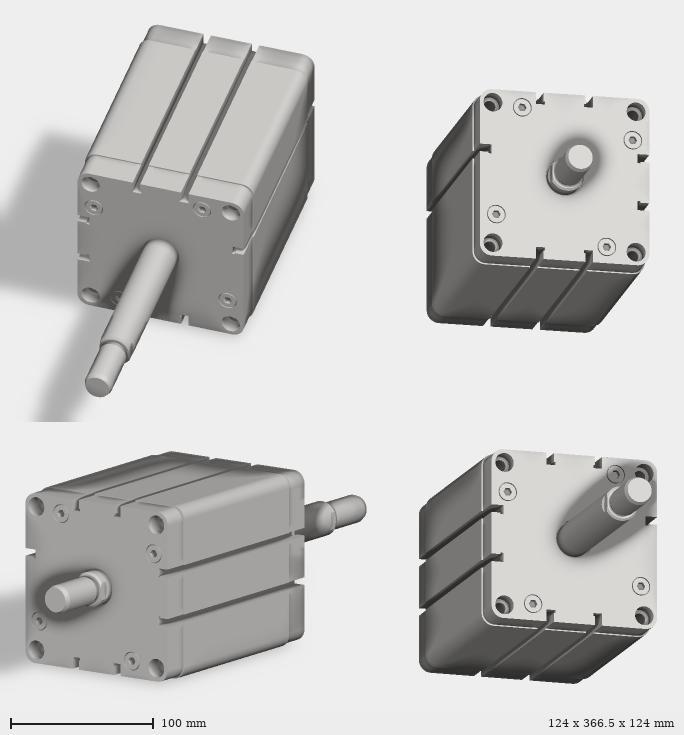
import cadquery as cq

OVERALL_LENGTH = 366.5
FRONT_TIP = -OVERALL_LENGTH / 2
REAR_TIP = OVERALL_LENGTH / 2

BARREL_SIDE = 124.0
BARREL_FRONT = -13.5
BARREL_REAR = 114.5
CAP_SIDE = 122.0
CAP_FRONT = -33.7
CAP_REAR = 133.0
CORNER_RADIUS = 8.8

SLOT_OUTER = 20.5
SLOT_INNER = 15.0
SLOT_UNDERCUT_INNER = 14.0
SLOT_LIP_BOTTOM = 54.5
SLOT_FLOOR = 52.5

CORNER_HOLE_PITCH = 103.0
CORNER_HOLE_DIAMETER = 8.5
COUNTERBORE_DIAMETER = 13.5
COUNTERBORE_DEPTH = 3.0

SCREW_OFFSET_LONG = 49.0
SCREW_OFFSET_SHORT = 30.5
SCREW_POCKET_DIAMETER = 13.5
SCREW_HEAD_DIAMETER = 12.0
SCREW_POCKET_DEPTH = 2.0
SCREW_SOCKET_ACROSS_CORNERS = 6.2
SCREW_SOCKET_DEPTH = 3.5

ROD_DIAMETER = 25.0
ROD_END_CHAMFER = 1.5
ROD_BORE_DIAMETER = 27.0
ROD_BORE_DEPTH = 2.0
NECK_DIAMETER = 17.5
NECK_LENGTH = 4.0
THREAD_DIAMETER = 20.0
THREAD_LENGTH = 36.3
THREAD_TIP_CHAMFER_LENGTH = 3.5
THREAD_RUNOUT_LENGTH = 1.0
THREAD_TIP_DIAMETER = 17.5
FLATS_ACROSS = 21.5
FLATS_LENGTH = 6.2

STUB_LENGTH = THREAD_LENGTH + NECK_LENGTH


def rounded_prism(side, y_start, y_end):
    """Square bar with rounded edges between two Y positions."""
    return (
        cq.Workplane("XZ", origin=(0, y_start, 0))
        .rect(side, side)
        .extrude(y_start - y_end)
        .edges("|Y")
        .fillet(CORNER_RADIUS)
    )


def bars(points, diameter, y_start, y_end):
    """Round bars along Y at the given (x, z) points."""
    return (
        cq.Workplane("XZ", origin=(0, y_start, 0))
        .pushPoints(points)
        .circle(diameter / 2)
        .extrude(y_start - y_end)
    )


def slot_cutter():
    """Slot in the top face at +X, undercut towards the middle of the face."""
    barrel_top = BARREL_SIDE / 2
    profile = cq.Workplane("XZ", origin=(0, CAP_FRONT, 0)).polyline(
        [
            (SLOT_OUTER, barrel_top),
            (SLOT_OUTER, SLOT_FLOOR),
            (SLOT_UNDERCUT_INNER, SLOT_FLOOR),
            (SLOT_UNDERCUT_INNER, SLOT_LIP_BOTTOM),
            (SLOT_INNER, SLOT_LIP_BOTTOM),
            (SLOT_INNER, barrel_top),
        ]
    )
    return profile.close().extrude(CAP_FRONT - CAP_REAR)


def turned(shape, angle):
    """Shape turned about the cylinder axis."""
    return shape.rotate((0, 0, 0), (0, 1, 0), angle)


def cut_slots(body):
    """Slot pairs on the top, bottom and -X sides, and one upper slot on the +X side."""
    right_slot = slot_cutter()
    left_slot = right_slot.mirror("YZ")
    for angle in (0, 180, -90):
        body = body.cut(turned(right_slot, angle)).cut(turned(left_slot, angle))
    return body.cut(turned(left_slot, 90))


def cut_corner_holes(body):
    half_pitch = CORNER_HOLE_PITCH / 2
    points = [(x, z) for x in (-half_pitch, half_pitch) for z in (-half_pitch, half_pitch)]
    body = body.cut(bars(points, CORNER_HOLE_DIAMETER, CAP_FRONT, CAP_REAR))
    for face, inward in ((CAP_FRONT, 3.5), (CAP_REAR, -3.5)):
        body = body.cut(bars(points, COUNTERBORE_DIAMETER, face, face + inward * COUNTERBORE_DEPTH))
    return body


def add_cap_screws(body):
    """Flush screw heads with hexagon sockets, each in a narrow ring-shaped gap."""
    long, short = SCREW_OFFSET_LONG, SCREW_OFFSET_SHORT
    points = [(short, long), (-long, short), (-short, -long), (long, -short)]
    for face, inward in ((CAP_FRONT, 1), (CAP_REAR, -1)):
        pocket_floor = face + inward * SCREW_POCKET_DEPTH
        pockets = bars(points, SCREW_POCKET_DIAMETER, face, pocket_floor)
        heads = bars(points, SCREW_HEAD_DIAMETER, face, pocket_floor)
        sockets = (
            cq.Workplane("XZ", origin=(0, face, 0))
            .pushPoints(points)
            .polygon(6, SCREW_SOCKET_ACROSS_CORNERS)
            .extrude(-inward * SCREW_SOCKET_DEPTH)
        )
        body = body.cut(pockets.cut(heads)).cut(sockets)
    return body


def cut_rod_bores(body):
    """Shallow clearance bore around the rod in each cap."""
    for face, inward in ((CAP_FRONT, 1), (CAP_REAR, -1)):
        body = body.cut(bars([(0, 0)], ROD_BORE_DIAMETER, face, face + inward * ROD_BORE_DEPTH))
    return body


def wrench_flat_cutter(shoulder, inward):
    """Flat on the +X side of the rod, from a shoulder to a 45 degree run-out."""
    flat_x = FLATS_ACROSS / 2
    rod_x = ROD_DIAMETER / 2
    flat_end = shoulder + inward * FLATS_LENGTH
    runout_end = flat_end + inward * (rod_x - flat_x)
    return (
        cq.Workplane("XY")
        .polyline([(flat_x, shoulder), (flat_x, flat_end), (rod_x, runout_end), (rod_x, shoulder)])
        .close()
        .extrude(rod_x, both=True)
    )


def make_rod():
    """Rod turned in one piece, with a neck and a chamfered thread at each end."""
    rod_radius = ROD_DIAMETER / 2
    neck_radius = NECK_DIAMETER / 2
    thread_radius = THREAD_DIAMETER / 2
    tip_radius = THREAD_TIP_DIAMETER / 2
    stub = [
        (0, 0),
        (tip_radius, 0),
        (thread_radius, THREAD_TIP_CHAMFER_LENGTH),
        (thread_radius, THREAD_LENGTH),
        (neck_radius, THREAD_LENGTH + THREAD_RUNOUT_LENGTH),
        (neck_radius, STUB_LENGTH),
        (rod_radius - ROD_END_CHAMFER, STUB_LENGTH),
        (rod_radius, STUB_LENGTH + ROD_END_CHAMFER),
    ]
    front = [(radius, FRONT_TIP + distance) for radius, distance in stub]
    rear = [(radius, REAR_TIP - distance) for radius, distance in reversed(stub)]
    rod = cq.Workplane("XY").polyline(front + rear).close().revolve(360, (0, 0), (0, 1))

    for end, inward in ((FRONT_TIP, 1), (REAR_TIP, -1)):
        flat = wrench_flat_cutter(end + inward * STUB_LENGTH, inward)
        rod = rod.cut(flat).cut(flat.mirror("YZ"))
    return rod


housing = rounded_prism(CAP_SIDE, CAP_FRONT, CAP_REAR)
housing = housing.union(rounded_prism(BARREL_SIDE, BARREL_FRONT, BARREL_REAR))
housing = cut_slots(housing)
housing = cut_corner_holes(housing)
housing = add_cap_screws(housing)
housing = cut_rod_bores(housing)
result = housing.union(make_rod())